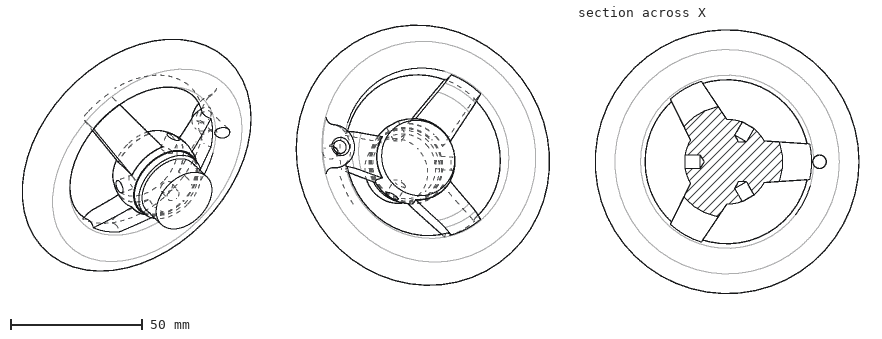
import cadquery as cq
import math


outer_radius = 50.0
rim_width = 15.0
rim_round = rim_width / 2
rim_crown_radius = outer_radius - rim_round
rim_bore_radius = 31.0
rim_edge_radius = 32.8
rim_edge_inset = 3.2
rim_flank_point = (1.0, 36.8)

hub_ball_radius = 16.2
hub_ball_center = 20.6
hub_front = 13.4
collar_start = 28.0
collar_end = 31.0
collar_radius = 14.0
shank_radius = 12.5
shank_end = 41.0

spoke_count = 3
spoke_pitch = 360 / spoke_count
spoke_root_radius = 10.0
spoke_tip_radius = 34.0
spoke_root_half_width = 8.2
spoke_tip_half_width = 6.6
spoke_back_hub = (25.5, 15.6)
spoke_back_rim = (15.0, 27.3)
spoke_front_hub = (16.0, 15.7)
spoke_bend_start = (7.6, 25.5)
spoke_bend_middle = (6.2, 27.2)
spoke_bend_end = (5.0, 29.0)
spoke_front_tip_x = 2.9

handle_radius = 35.0
handle_bore = 5.0
handle_chamfer = 1.0
boss_radius = 8.3
boss_center_radius = 37.8
boss_depth = 8.0
boss_flare_radius = 3.0

radial_hole_diameter = 5.0
radial_hole_depth = 6.0
drill_point_angle = 118.0
drill_clearance = 1.0


def revolve_about_x(profile):
    return profile.close().revolve(360, (0, 0, 0), (1, 0, 0))


def make_rim():
    profile = (
        cq.Workplane("XY")
        .moveTo(0, rim_crown_radius)
        .threePointArc((rim_width / 2, outer_radius), (rim_width, rim_crown_radius))
        .threePointArc(
            (rim_width - rim_flank_point[0], rim_flank_point[1]),
            (rim_width - rim_edge_inset, rim_edge_radius),
        )
        .threePointArc((rim_width / 2, rim_bore_radius), (rim_edge_inset, rim_edge_radius))
        .threePointArc(rim_flank_point, (0, rim_crown_radius))
    )
    return revolve_about_x(profile)


def make_hub():
    front_radius = math.sqrt(hub_ball_radius**2 - (hub_ball_center - hub_front) ** 2)
    back_radius = math.sqrt(hub_ball_radius**2 - (collar_start - hub_ball_center) ** 2)
    profile = (
        cq.Workplane("XY")
        .moveTo(hub_front, 0)
        .lineTo(hub_front, front_radius)
        .threePointArc((hub_ball_center, hub_ball_radius), (collar_start, back_radius))
        .lineTo(collar_start, collar_radius)
        .lineTo(collar_end, collar_radius)
        .lineTo(collar_end, shank_radius)
        .lineTo(shank_end, shank_radius)
        .lineTo(shank_end, 0)
    )
    return revolve_about_x(profile)


def line_at_radius(start, end, radius):
    """Point at the given radius on the line through two (X, radius) points."""
    fraction = (radius - start[1]) / (end[1] - start[1])
    return (start[0] + fraction * (end[0] - start[0]), radius)


def make_spokes():
    shell = revolve_about_x(
        cq.Workplane("XY")
        .moveTo(spoke_back_hub[0], spoke_root_radius)
        .lineTo(*spoke_back_hub)
        .lineTo(*line_at_radius(spoke_back_hub, spoke_back_rim, spoke_tip_radius))
        .lineTo(spoke_front_tip_x, spoke_tip_radius)
        .lineTo(*spoke_bend_end)
        .threePointArc(spoke_bend_middle, spoke_bend_start)
        .lineTo(*spoke_front_hub)
        .lineTo(spoke_front_hub[0], spoke_root_radius)
    )
    bar = (
        cq.Workplane("YZ")
        .polyline([
            (spoke_root_radius, -spoke_root_half_width),
            (spoke_tip_radius, -spoke_tip_half_width),
            (spoke_tip_radius, spoke_tip_half_width),
            (spoke_root_radius, spoke_root_half_width),
        ])
        .close()
        .extrude(shank_end)
    )
    spoke = shell.intersect(bar)
    spokes = spoke
    for index in range(1, spoke_count):
        spokes = spokes.union(spoke.rotate((0, 0, 0), (1, 0, 0), index * spoke_pitch))
    return spokes


def make_boss():
    flare_end = boss_center_radius + boss_flare_radius
    flare_half_width = boss_radius + boss_flare_radius
    flare_offset = boss_flare_radius * math.sin(math.radians(45))
    flare_middle = (boss_center_radius + flare_offset, flare_half_width - flare_offset)
    outline = (
        cq.Workplane("YZ")
        .moveTo(outer_radius, flare_half_width)
        .lineTo(flare_end, flare_half_width)
        .threePointArc(flare_middle, (boss_center_radius, boss_radius))
        .threePointArc(
            (boss_center_radius - boss_radius, 0),
            (boss_center_radius, -boss_radius),
        )
        .threePointArc((flare_middle[0], -flare_middle[1]), (flare_end, -flare_half_width))
        .lineTo(outer_radius, -flare_half_width)
        .close()
        .extrude(boss_depth)
    )
    return outline.intersect(cq.Workplane("YZ").circle(rim_crown_radius).extrude(boss_depth))


def make_handle_hole():
    bore = cq.Workplane("YZ").center(handle_radius, 0).circle(handle_bore / 2).extrude(shank_end)
    countersink = cq.Solid.makeCone(
        handle_bore / 2 + handle_chamfer,
        handle_bore / 2,
        handle_chamfer,
        cq.Vector(0, handle_radius, 0),
        cq.Vector(1, 0, 0),
    )
    return bore.union(cq.Workplane(countersink))


def make_radial_hole():
    """Drilled hole entering the ball from the -Y side."""
    radius = radial_hole_diameter / 2
    bottom = hub_ball_radius - radial_hole_depth
    point_length = radius / math.tan(math.radians(drill_point_angle / 2))
    return (
        cq.Workplane("XY")
        .center(hub_ball_center, 0)
        .moveTo(0, -hub_ball_radius - drill_clearance)
        .lineTo(radius, -hub_ball_radius - drill_clearance)
        .lineTo(radius, -bottom)
        .lineTo(0, -bottom + point_length)
        .close()
        .revolve(360, (0, 0, 0), (0, 1, 0))
    )


result = make_rim().union(make_spokes()).union(make_hub()).union(make_boss())
result = result.cut(make_handle_hole())
for index in range(spoke_count):
    hole = make_radial_hole().rotate((0, 0, 0), (1, 0, 0), index * spoke_pitch)
    result = result.cut(hole)